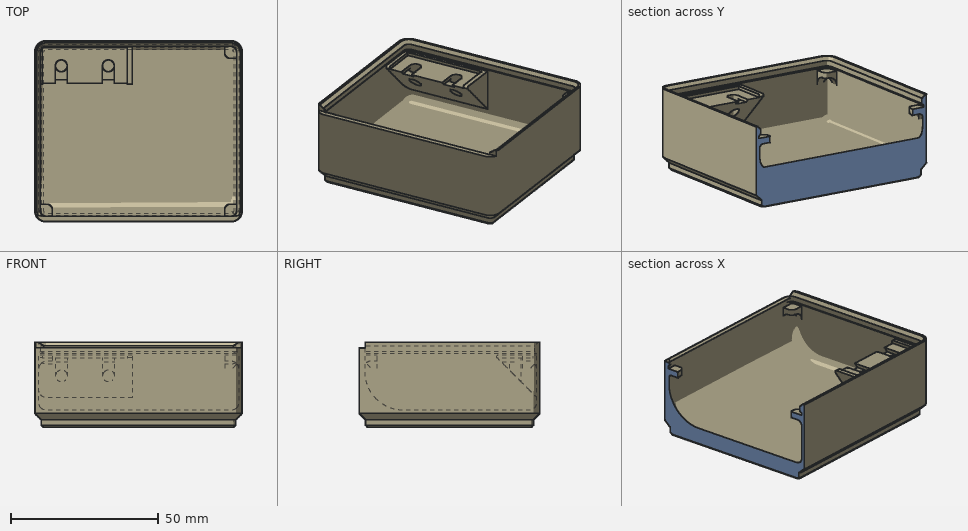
import cadquery as cq

LENGTH = 70.5
WIDTH = 61.5
HEIGHT = 29.0
CORNER_RADIUS = 3.75
SIDE_WALL = 1.2
FLOOR_Z = 6.0

FOOT_CHAMFER = 0.8
FOOT_STRAIGHT = 1.8
FOOT_FLARE = 2.15

RIM_LAND = 0.7
RIM_WALL = 1.9
RIM_CHAMFER = RIM_WALL - RIM_LAND
RIM_STRAIGHT = 1.9
RIM_OVERHANG = RIM_WALL - SIDE_WALL
RIM_BOTTOM = HEIGHT - RIM_CHAMFER - RIM_STRAIGHT
FRONT_NOTCH_DEPTH = 2.05
FRONT_NOTCH_HEIGHT = 2.0

FLOOR_FILLET = CORNER_RADIUS - SIDE_WALL
SCOOP_RADIUS = 13.0
CAVITY_X = LENGTH / 2 - SIDE_WALL
CAVITY_BACK = WIDTH / 2 - SIDE_WALL
RIM_X = LENGTH / 2 - RIM_WALL
RIM_Y = WIDTH / 2 - RIM_WALL

LEDGE_Z = 24.7
PAD_SIZE = 4.1
PAD_THICKNESS = 2.0
PAD_CORNER_RADIUS = 2.0
PAD_FLARE_RADIUS = 3.0

SHELF_LENGTH = 31.3
SHELF_DEPTH = 12.9
SHELF_TIP_THICKNESS = 0.8
SHELF_EDGE_RADIUS = 0.6
RECESS_DEPTH = 1.1
RECESS_LEFT_LIP = 0.7
RECESS_BACK_LIP = 0.5
RECESS_LENGTH = 28.9
SLOT_WIDTH = 4.0
SLOT_DEPTH = 1.2
SLOT_COUNT = 2
SLOT_PITCH = 16.0
FIRST_SLOT_FROM_RIM = 7.1
HOLE_FROM_BACK_RIM = 6.6

OVERLAP = 0.5


def rounded_block(inset, bottom, height):
    """Block with the rounded outline of the box, moved inwards by inset."""
    return (
        cq.Workplane("XY", origin=(0, 0, bottom))
        .rect(LENGTH - 2 * inset, WIDTH - 2 * inset)
        .extrude(height)
        .edges("|Z")
        .fillet(CORNER_RADIUS - inset)
    )


def make_outer_body():
    """Solid box with a stepped, chamfered foot."""
    foot_top = FOOT_CHAMFER + FOOT_STRAIGHT
    foot = rounded_block(FOOT_FLARE, 0, foot_top).faces("<Z").chamfer(FOOT_CHAMFER)
    box = rounded_block(0, foot_top, HEIGHT - foot_top).faces("<Z").chamfer(FOOT_FLARE)
    return foot.union(box)


def make_cavity():
    """Inner space below the rim: scoop at the front, rounded floor edges, 45 degree overhang on top."""
    overhang_z = RIM_BOTTOM - RIM_OVERHANG
    cavity = (
        cq.Workplane("XY", origin=(-CAVITY_X, -RIM_Y, FLOOR_Z))
        .rect(2 * CAVITY_X, CAVITY_BACK + RIM_Y, centered=False)
        .extrude(overhang_z - FLOOR_Z)
        .edges("<Y and <Z")
        .fillet(SCOOP_RADIUS)
    )
    left_and_right = cavity.faces("<X or >X").edges("not >Z")
    back_floor = cavity.edges(">Y and <Z")
    cavity = left_and_right.add(back_floor).fillet(FLOOR_FILLET)

    taper = RIM_OVERHANG + OVERLAP
    overhang = rounded_block(SIDE_WALL, overhang_z - OVERLAP, taper + OVERLAP).faces(">Z").chamfer(taper)
    behind_front_wall = cq.Workplane("XY").box(
        LENGTH, WIDTH, HEIGHT, centered=(True, False, False)
    ).translate((0, -RIM_Y, 0))
    return cavity.union(overhang.intersect(behind_front_wall))


def make_rim_opening():
    """Opening through the rim, bevelled at 45 degrees towards the top."""
    straight = rounded_block(RIM_WALL, RIM_BOTTOM, HEIGHT - RIM_BOTTOM)
    taper = RIM_CHAMFER + OVERLAP
    bevel = rounded_block(RIM_LAND, HEIGHT - taper, taper + OVERLAP).faces("<Z").chamfer(taper)
    return straight.union(bevel)


def make_front_notch():
    """Step that lowers the front rim over the full length."""
    return cq.Workplane("XY").box(
        LENGTH, FRONT_NOTCH_DEPTH, FRONT_NOTCH_HEIGHT, centered=(True, False, False)
    ).translate((0, -WIDTH / 2, HEIGHT - FRONT_NOTCH_HEIGHT))


def make_pad():
    """Pad for the back right corner, flaring into both walls below."""
    flare_bottom = LEDGE_Z - PAD_THICKNESS - PAD_FLARE_RADIUS
    inner_x = RIM_X - PAD_SIZE
    inner_y = RIM_Y - PAD_SIZE
    footprint = (
        cq.Workplane("XY", origin=(inner_x, inner_y, flare_bottom))
        .rect(LENGTH / 2 - inner_x, WIDTH / 2 - inner_y, centered=False)
        .extrude(LEDGE_Z - flare_bottom)
        .edges("|Z and <X and <Y")
        .fillet(PAD_CORNER_RADIUS)
    )
    void = (
        cq.Workplane("XY", origin=(0, 0, flare_bottom - OVERLAP))
        .rect(CAVITY_X, CAVITY_BACK, centered=False)
        .extrude(PAD_FLARE_RADIUS + OVERLAP)
        .edges(">Z and (>X or >Y)")
        .fillet(PAD_FLARE_RADIUS)
    )
    return footprint.cut(void)


def make_shelf():
    """Label shelf with a 45 degree underside, a recess and two keyhole slots."""
    left = -RIM_X
    front = RIM_Y - SHELF_DEPTH
    back = WIDTH / 2
    tip_z = LEDGE_Z - SHELF_TIP_THICKNESS
    shelf = (
        cq.Workplane("YZ", origin=(-LENGTH / 2, 0, 0))
        .moveTo(back, LEDGE_Z)
        .lineTo(front, LEDGE_Z)
        .lineTo(front, tip_z)
        .lineTo(back, tip_z - (back - front))
        .close()
        .extrude(left + SHELF_LENGTH + LENGTH / 2)
        .edges("<Y and >Z")
        .fillet(SHELF_EDGE_RADIUS)
    )
    recess_z = LEDGE_Z - RECESS_DEPTH
    recess_back = RIM_Y - RECESS_BACK_LIP
    recess = cq.Workplane("XY").box(
        RECESS_LENGTH, recess_back - front, RECESS_DEPTH, centered=False
    ).translate((left + RECESS_LEFT_LIP, front, recess_z))
    shelf = shelf.cut(recess)

    hole_y = RIM_Y - HOLE_FROM_BACK_RIM
    for index in range(SLOT_COUNT):
        slot_x = left + FIRST_SLOT_FROM_RIM + index * SLOT_PITCH
        slot = cq.Workplane("XY").box(
            SLOT_WIDTH, hole_y - front, SLOT_DEPTH, centered=(True, False, False)
        ).translate((slot_x, front, recess_z - SLOT_DEPTH))
        hole = (
            cq.Workplane("XY", origin=(slot_x, hole_y, recess_z))
            .circle(SLOT_WIDTH / 2)
            .extrude(-SHELF_DEPTH)
        )
        shelf = shelf.cut(slot).cut(hole)
    return shelf


shell = make_outer_body().cut(make_cavity()).cut(make_rim_opening()).cut(make_front_notch())
back_right_pad = make_pad()
front_right_pad = back_right_pad.mirror("XZ")
front_left_pad = front_right_pad.mirror("YZ")
inside_walls = rounded_block(SIDE_WALL / 2, FLOOR_Z, HEIGHT - FLOOR_Z)

result = shell
for ledge in (back_right_pad, front_right_pad, front_left_pad, make_shelf()):
    result = result.union(ledge.intersect(inside_walls))